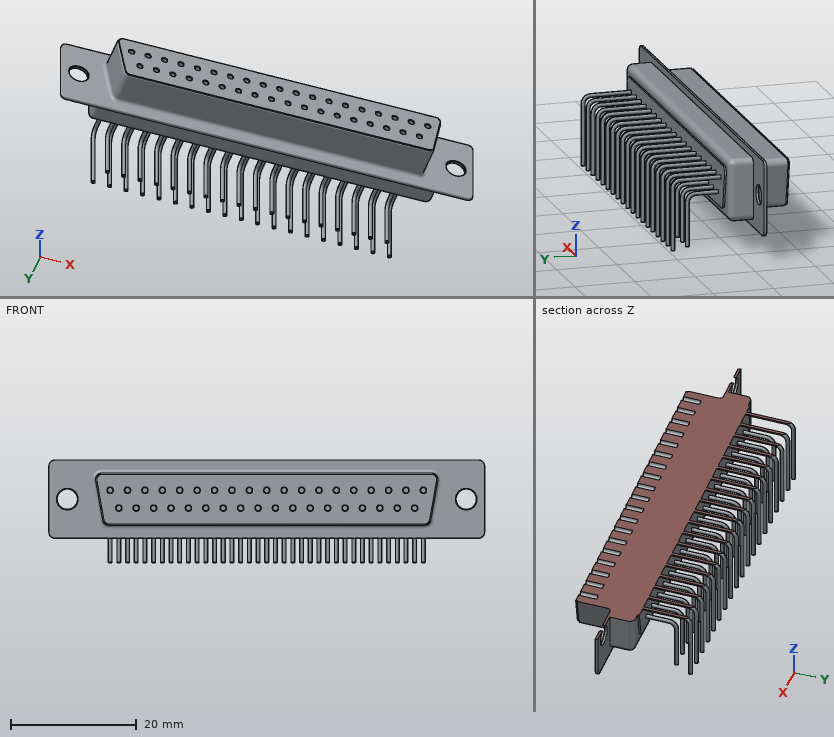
import cadquery as cq
import math


flange_width = 69.4
flange_height = 12.5
flange_thickness = 0.5
flange_corner_radius = 1.0
flange_edge_radius = 0.2
mount_hole_diameter = 3.2
mount_hole_spacing = 63.5
mount_hole_chamfer = 0.12
flange_front_y = -flange_thickness / 2
flange_back_y = flange_thickness / 2

shell_width = 54.5
shell_height = 8.3
shell_side_angle = 10.0
shell_corner_radius = 1.0
shell_depth = 5.75
shell_front_edge_radius = 0.2
shell_root_radius = 0.6

housing_width = 57.7
housing_height = 10.3
housing_depth = 4.0
housing_corner_radius = 1.0
housing_back_edge_radius = 1.0

insert_inset = 0.2
insert_protrusion = 0.25

insulator_width = 54.2
insulator_height = 7.3
insulator_protrusion = 0.3
insulator_corner_radius = 1.0

contact_pitch = 2.77
row_spacing = 2.84
upper_count = 19
lower_count = upper_count - 1
socket_diameter = 0.85
socket_depth = 3.0
socket_mouth_chamfer = 0.1
pin_diameter = 0.64
pin_bend_radius = 1.3
pin_tip_chamfer = 0.12
pin_tip_z = -10.15
upper_leg_y = 12.5
lower_leg_y = upper_leg_y - row_spacing

shell_front_y = flange_front_y - shell_depth
mating_face_y = shell_front_y - insert_protrusion
housing_back_y = flange_back_y + housing_depth
insulator_back_y = housing_back_y + insulator_protrusion

contact_rows = [
    (upper_count, row_spacing / 2, upper_leg_y),
    (lower_count, -row_spacing / 2, lower_leg_y),
]


def workplane_at(y):
    """XZ plane at the given Y; extruding goes toward -Y."""
    return cq.Workplane("XZ", origin=(0, y, 0))


def d_prism(width, height, corner_radius, front_y, back_y):
    """Prism with a trapezoid outline, wide side up; width is measured over the rounded corners."""
    angle = math.radians(shell_side_angle)
    corner_overhang = corner_radius * (math.tan(math.radians(45) + angle / 2) - 1)
    half_top = width / 2 + corner_overhang
    half_bottom = half_top - height * math.tan(angle)
    outline = [
        (-half_top, height / 2),
        (half_top, height / 2),
        (half_bottom, -height / 2),
        (-half_bottom, -height / 2),
    ]
    prism = workplane_at(back_y).polyline(outline).close().extrude(back_y - front_y)
    return prism.edges("|Y").fillet(corner_radius)


def make_flange():
    plate = workplane_at(flange_back_y).rect(flange_width, flange_height).extrude(flange_thickness)
    plate = plate.edges("|Y").fillet(flange_corner_radius)
    return plate.faces("<Y").edges().fillet(flange_edge_radius)


def make_shell():
    shell = d_prism(shell_width, shell_height, shell_corner_radius, shell_front_y, flange_front_y)
    return shell.faces("<Y").edges().fillet(shell_front_edge_radius)


def make_insert():
    return d_prism(
        shell_width - 2 * insert_inset,
        shell_height - 2 * insert_inset,
        shell_corner_radius - insert_inset,
        mating_face_y,
        shell_front_y,
    )


def round_shell_root(body):
    """Concave fillet where the shell meets the flange front."""
    reach = shell_root_radius
    edge_tolerance = shell_root_radius / 10
    root_zone = cq.selectors.BoxSelector(
        (-shell_width / 2 - reach, flange_front_y - edge_tolerance, -shell_height / 2 - reach),
        (shell_width / 2 + reach, flange_front_y + edge_tolerance, shell_height / 2 + reach),
    )
    return body.edges(root_zone).fillet(shell_root_radius)


def make_housing():
    housing = workplane_at(housing_back_y).rect(housing_width, housing_height).extrude(housing_depth)
    housing = housing.edges("|Y").fillet(housing_corner_radius)
    return housing.faces(">Y").edges().fillet(housing_back_edge_radius)


def make_insulator():
    return d_prism(
        insulator_width, insulator_height, insulator_corner_radius, housing_back_y, insulator_back_y
    )


def contact_positions(count):
    first_x = -(count - 1) * contact_pitch / 2
    return [first_x + i * contact_pitch for i in range(count)]


def make_pin(x, z, leg_y):
    """Round pin leaving the insulator backward, then bent down to the board."""
    bend_start_y = leg_y - pin_bend_radius
    bend_end_z = z - pin_bend_radius
    path = (
        cq.Workplane("YZ", origin=(x, 0, 0))
        .moveTo(housing_back_y, z)
        .lineTo(bend_start_y, z)
        .radiusArc((leg_y, bend_end_z), pin_bend_radius)
        .lineTo(leg_y, pin_tip_z)
    )
    section = cq.Workplane("XZ", origin=(x, housing_back_y, z)).circle(pin_diameter / 2)
    return section.sweep(path).faces("<Z").edges().chamfer(pin_tip_chamfer)


def chamfered_holes(points, diameter, front_y, depth, chamfer):
    """Tools for round holes drilled from front_y toward +Y, widened at the front by a chamfer."""
    bores = workplane_at(front_y + depth).pushPoints(points).circle(diameter / 2).extrude(depth)
    cones = (
        workplane_at(front_y)
        .pushPoints(points)
        .circle(diameter / 2 + chamfer)
        .extrude(-chamfer, taper=45)
    )
    return bores.union(cones)


def make_mount_hole_tools():
    points = [(-mount_hole_spacing / 2, 0), (mount_hole_spacing / 2, 0)]
    return chamfered_holes(
        points, mount_hole_diameter, flange_front_y, flange_thickness, mount_hole_chamfer
    )


def make_socket_tools():
    points = [(x, z) for count, z, _ in contact_rows for x in contact_positions(count)]
    return chamfered_holes(points, socket_diameter, mating_face_y, socket_depth, socket_mouth_chamfer)


def add_pins(body):
    pins = [
        make_pin(x, z, leg_y).val()
        for count, z, leg_y in contact_rows
        for x in contact_positions(count)
    ]
    return cq.Workplane(body.val().fuse(*pins))


connector = round_shell_root(make_flange().union(make_shell()))
connector = connector.union(make_insert()).union(make_housing()).union(make_insulator())
connector = connector.cut(make_mount_hole_tools()).cut(make_socket_tools())
result = add_pins(connector)